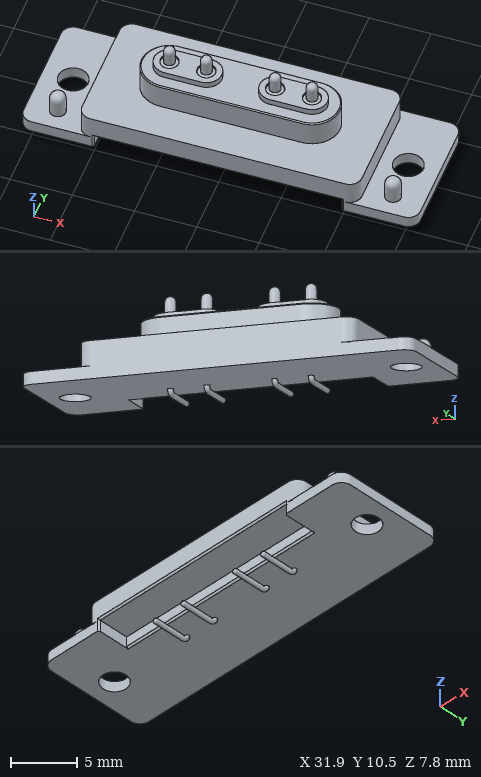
import cadquery as cq

flange_length = 31.9
flange_width = 10.5
flange_thickness = 1.02
corner_radius = 1.0
ear_hole_diameter = 2.4
ear_feature_x = 13.45

peg_radius = 0.65
peg_y = -3.48

block_length = 22.5
block_top = 3.0
boss_width = 4.5
boss_top = 5.17
boss_chamfer = 0.1
pad_radius = 1.25
pad_top = 5.68

slot_length = 19.87
slot_height = 1.1
slot_back_y = -boss_width / 2
slot_chamfer = 0.15

contact_pitch = 2.97
pad_center_x = 4.25
barrel_radius = 0.73
barrel_rim_fillet = 0.22
barrel_bottom = flange_thickness
plunger_radius = 0.45
plunger_top = 7.2
plunger_bottom = block_top
tail_radius = 0.22
tail_bend_radius = 0.48
tail_axis_z = -0.38
tail_end_y = -3.5
tail_end_fillet = 0.13

pad_centers = [-pad_center_x, pad_center_x]
contact_centers = [
    pad_x + side * contact_pitch / 2
    for pad_x in pad_centers
    for side in (-1, 1)
]


def rounded_plate(length, top):
    """Plate with rounded corners, standing on the flange underside."""
    return (
        cq.Workplane("XY")
        .rect(length, flange_width)
        .extrude(top)
        .edges("|Z")
        .fillet(corner_radius)
    )


def stadium(center_x, center_distance, radius, bottom, top):
    """Upright prism with straight sides and half-round ends."""
    return (
        cq.Workplane("XY", origin=(center_x, 0, bottom))
        .slot2D(center_distance + 2 * radius, 2 * radius)
        .extrude(top - bottom)
    )


def domed_pin(x, y, radius, bottom, top):
    """Round pin with a hemispherical top."""
    shoulder = top - radius
    half_profile = (
        cq.Workplane("XZ")
        .moveTo(0, bottom)
        .lineTo(radius, bottom)
        .lineTo(radius, shoulder)
        .radiusArc((0, top), -radius)
        .close()
    )
    return half_profile.revolve(360, (0, 0), (0, 1)).translate((x, y, 0))


def make_slot_cutter():
    """Board slot with a flared mouth and a chamfer under its back wall."""
    front_y = -flange_width / 2
    cutter = (
        cq.Workplane("XY", origin=(0, front_y, 0))
        .box(slot_length, slot_back_y - front_y, slot_height, centered=(True, False, False))
    )
    mouth = (
        cq.Workplane("XZ", origin=(0, front_y, 0))
        .rect(slot_length + 2 * slot_chamfer, 2 * (slot_height + slot_chamfer))
        .workplane(offset=-slot_chamfer)
        .rect(slot_length, 2 * slot_height)
        .loft(ruled=True)
    )
    back_chamfer = (
        cq.Workplane("YZ", origin=(-slot_length / 2, 0, 0))
        .moveTo(slot_back_y, 0)
        .lineTo(slot_back_y + slot_chamfer, 0)
        .lineTo(slot_back_y, slot_chamfer)
        .close()
        .extrude(slot_length)
    )
    return cutter.union(mouth).union(back_chamfer)


def make_tail_path():
    """Centre line of a tail: down from the barrel, round the bend and out to the front."""
    bend_start_z = tail_axis_z + tail_bend_radius
    return (
        cq.Workplane("YZ")
        .moveTo(0, barrel_bottom)
        .lineTo(0, bend_start_z)
        .tangentArcPoint((-tail_bend_radius, tail_axis_z), relative=False)
        .lineTo(tail_end_y, tail_axis_z)
    )


def make_solid_barrel(x):
    """Barrel with a rounded rim and its bent tail, without the plunger bore."""
    sleeve = (
        cq.Workplane("XY", origin=(0, 0, barrel_bottom))
        .circle(barrel_radius)
        .extrude(pad_top - barrel_bottom)
        .faces(">Z")
        .edges()
        .fillet(barrel_rim_fillet)
    )
    tail = (
        cq.Workplane("XY", origin=(0, 0, barrel_bottom))
        .circle(tail_radius)
        .sweep(make_tail_path())
        .faces("<Y")
        .edges()
        .fillet(tail_end_fillet)
    )
    return sleeve.union(tail).translate((x, 0, 0))


def make_plunger(x):
    """Sliding contact pin, seated in the barrel."""
    return domed_pin(x, 0, plunger_radius, plunger_bottom, plunger_top)


def make_barrel(x):
    """Barrel bored to fit its plunger."""
    return make_solid_barrel(x).cut(make_plunger(x))


def add_boss(housing):
    """Stadium boss with a chamfered rim, carrying one raised pad for each contact pair."""
    end_distance = contact_centers[-1] - contact_centers[0]
    boss = stadium(0, end_distance, boss_width / 2, block_top, boss_top)
    housing = housing.union(boss.faces(">Z").edges().chamfer(boss_chamfer))
    for pad_x in pad_centers:
        housing = housing.union(stadium(pad_x, contact_pitch, pad_radius, boss_top, pad_top))
    return housing


def add_ear_features(housing):
    """A locating peg and a through hole on each ear."""
    for ear_x in (-ear_feature_x, ear_feature_x):
        peg = domed_pin(ear_x, peg_y, peg_radius, flange_thickness, block_top)
        ear_hole = (
            cq.Workplane("XY", origin=(ear_x, 0, 0))
            .circle(ear_hole_diameter / 2)
            .extrude(flange_thickness)
        )
        housing = housing.union(peg).cut(ear_hole)
    return housing


def cut_contact_holes(housing):
    """Plain bore for each barrel and a matching passage for its tail."""
    for x in contact_centers:
        barrel_hole = (
            cq.Workplane("XY", origin=(x, 0, barrel_bottom))
            .circle(barrel_radius)
            .extrude(pad_top - barrel_bottom)
        )
        housing = housing.cut(barrel_hole).cut(make_solid_barrel(x))
    return housing


def make_housing():
    """Flange, block, boss, pads and pegs in one piece, with the slot and contact holes."""
    flange = rounded_plate(flange_length, flange_thickness)
    housing = flange.union(rounded_plate(block_length, block_top))
    housing = add_boss(housing)
    housing = add_ear_features(housing)
    housing = housing.cut(make_slot_cutter())
    return cut_contact_holes(housing)


housing = make_housing().solids()
barrels = [make_barrel(x) for x in contact_centers]
plungers = [make_plunger(x) for x in contact_centers]

result = cq.Compound.makeCompound(
    [housing.val()] + [body.solids().val() for body in barrels + plungers]
)